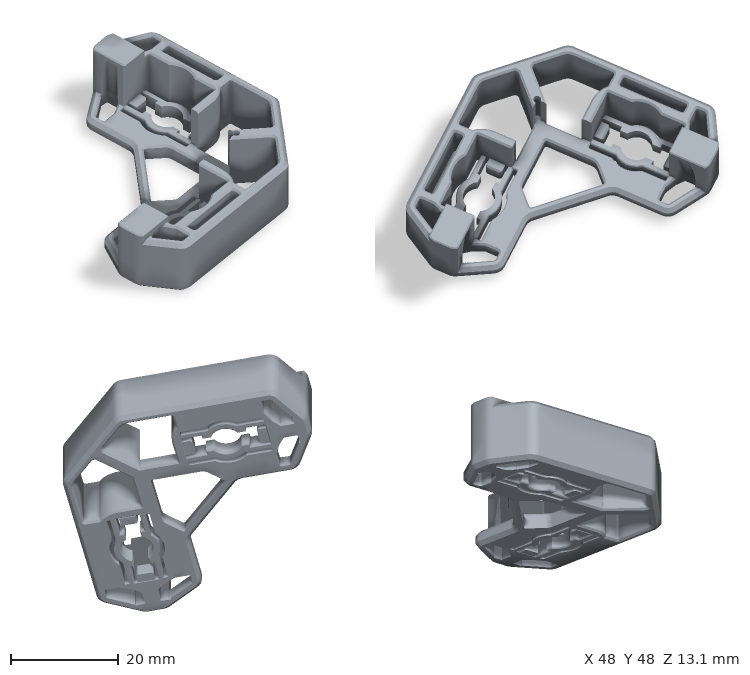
import cadquery as cq
import math

size = 48.0
half_size = size / 2
post_height = 13.1
wall_height = 11.6
base_height = 3.0
wall = 1.8

outer_chamfer = 0.75
inner_chamfer = 0.4
slot_chamfer = 0.2
edge_chamfer = 0.25
outer_radius = 2.5
window_radius = 0.45

arm_width = 20.0
half_arm = arm_width / 2
tip_u = -16.0
tip_half_flat = 2.1
tip_angle = 60.0
arm_x = -half_size - tip_u
arm_y = half_size - half_arm
tip_tangent = math.tan(math.radians(tip_angle))
shoulder_u = tip_u + (half_arm - tip_half_flat) / tip_tangent
outer_corner_x = 10.65
inner_corner_x = -7.9

post_half_width = 3.0
seat_edge = arm_y - post_half_width
seat_relief_radius = 0.7
rib_half_width = 1.35
rib_corner_radius = 0.75

cavity_half_length = 7.95
cavity_radius = 0.3
slot_inner_v = 3.3
slot_outer_v = 4.2
slot_inner_radius = 4.25
slot_outer_radius = 5.2
opening_half_width = 2.3
jaw_half_length = 4.15
jaw_half_gap = 1.5
bore_radius = 3.0
tab_half_width = 1.65
tab_length = 1.8
tab_chamfer = 0.35

plate_outer_u = 9.9
plate_curve_v = 1.45
plate_root_u = 8.35
plate_root_v = 5.3

groove_half_length = 6.6
groove_inner_v = 6.3

tip_window_u = -8.4
tip_window_bend_v = 5.3
tip_window_end_u = -9.45
recess_depth = 1.55
recess_right_run = 0.7
recess_left_edge = 0.15
recess_right_edge = 0.55
recess_mouth_taper = 0.15
recess_top = 12.0
recess_top_left_u = -12.4
recess_top_fade = 0.95
recess_middle_left_u = -13.4
recess_middle_fade = 0.5

base_window_edge = 7.85
base_window_spread = 10.4
base_window_blunt_radius = 1.9


def polygon(points, z=0.0):
    return cq.Workplane("XY").workplane(offset=z).polyline(points).close()


def block(x0, x1, y0, y1, z0, z1):
    return cq.Workplane("XY").box(x1 - x0, y1 - y0, z1 - z0, centered=False).translate((x0, y0, z0))


def swapped(points):
    return [(y, x) for x, y in reversed(points)]


def place(shape):
    return shape.translate((arm_x, arm_y, 0))


def twin(shape):
    """Reflect a shape in the X = Y plane, from one arm onto the other."""
    return shape.mirror("XZ").rotate((0, 0, 0), (0, 0, 1), 90)


def pair(shape):
    return shape.union(twin(shape))


def round_corners(prism, corners, radius):
    """Round the upright edges of a prism that stand at the given corners."""
    reach = 0.25
    for x, y in corners:
        near = cq.selectors.BoxSelector((x - reach, y - reach, -reach), (x + reach, y + reach, post_height))
        prism = prism.edges("|Z").edges(near).fillet(radius)
    return prism


def flare(cutter, top, chamfer):
    """Countersink that chamfers the mouth of a prismatic cutter at height top."""
    section = cutter.faces("<Z").wires().toPending()
    bottom = cutter.val().BoundingBox().zmin
    outward_angle = -45
    flared = section.extrude(chamfer, taper=outward_angle, combine=False)
    return flared.translate((0, 0, top - chamfer - bottom))


def underside_flare(cutter, chamfer):
    """Countersink that chamfers the mouth of a prismatic cutter in the underside."""
    return flare(cutter, 0, chamfer).mirror("XY")


def slab(height):
    arm_points = [
        (outer_corner_x, half_size),
        (arm_x + shoulder_u, half_size),
        (-half_size, arm_y + tip_half_flat),
        (-half_size, arm_y - tip_half_flat),
        (arm_x + shoulder_u, arm_y - half_arm),
        (inner_corner_x, arm_y - half_arm),
    ]
    body = polygon(arm_points + swapped(arm_points)).extrude(height)
    return body.edges("|Z").fillet(outer_radius).faces("<Z").chamfer(outer_chamfer)


def seat():
    far = -size
    square = block(far, seat_edge, far, seat_edge, 0, post_height)
    relief = cq.Workplane("XY").center(seat_edge, seat_edge).circle(seat_relief_radius).extrude(post_height)
    return square.union(relief)


def inside_tip_wall(v):
    """Position along the arm of the inner face of the slanted tip wall."""
    wall_run = wall / math.sin(math.radians(tip_angle))
    return tip_u + (v - tip_half_flat) / tip_tangent + wall_run


def tip_window(height):
    """Window between the tip wall and the cavity, on the +v side of the arm."""
    top_v = half_arm - wall
    points = [
        (inside_tip_wall(top_v), top_v),
        (tip_window_u, top_v),
        (tip_window_u, tip_window_bend_v),
        (tip_window_end_u, post_half_width),
        (inside_tip_wall(post_half_width), post_half_width),
    ]
    return polygon(points).extrude(height).edges("|Z").fillet(window_radius)


def post_recess():
    """Recess in the +v flank of the post, fading out towards the top."""
    foot_u = inside_tip_wall(post_half_width)
    mouth_v = post_half_width + window_radius

    def outline(fade, left_mouth_u):
        deep_v = post_half_width - recess_depth * (1 - fade)
        left_u = foot_u + recess_left_edge + fade * (recess_top_left_u - foot_u)
        right_u = tip_window_end_u - recess_right_edge - (1 - fade) * recess_right_run
        right_mouth_u = tip_window_end_u - fade * recess_mouth_taper
        return [(left_mouth_u, mouth_v), (left_mouth_u, post_half_width), (left_u, deep_v),
                (right_u, deep_v), (right_mouth_u, post_half_width), (right_mouth_u, mouth_v)]

    foot = outline(0, foot_u)
    middle = outline(recess_middle_fade, recess_middle_left_u)
    head = outline(recess_top_fade, recess_top_left_u)
    middle_z = base_height + recess_middle_fade * (recess_top - base_height)
    straight = polygon(foot).extrude(base_height)
    tapered = (
        polygon(foot, base_height)
        .workplane(offset=middle_z - base_height)
        .polyline(middle)
        .close()
        .workplane(offset=recess_top - middle_z)
        .polyline(head)
        .close()
        .loft(combine=True)
    )
    return straight.union(tapered)


def side_window(height):
    """Window between the end plate, the outer corner wall and the diagonal rib."""
    top_y = half_size - wall
    diagonal = half_size + outer_corner_x - wall * math.sqrt(2)
    rib_offset = rib_half_width * math.sqrt(2)
    plate_x = arm_x + plate_outer_u
    root = (arm_x + plate_root_u, arm_y + plate_root_v)
    top_left = (root[0], top_y)
    top_right = (diagonal - top_y, top_y)
    rib_outer = ((diagonal - rib_offset) / 2, (diagonal + rib_offset) / 2)
    window = (
        cq.Workplane("XY")
        .moveTo(plate_x, seat_edge)
        .lineTo(plate_x, arm_y + plate_curve_v)
        .tangentArcPoint(root, relative=False)
        .lineTo(*top_left)
        .lineTo(*top_right)
        .lineTo(*rib_outer)
        .lineTo(seat_edge - rib_offset, seat_edge)
        .close()
        .extrude(height)
    )
    window = round_corners(window, [top_right], outer_radius)
    window = round_corners(window, [rib_outer], rib_corner_radius)
    return round_corners(window, [top_left], window_radius)


def base_window():
    edge = base_window_edge
    diagonal = inner_corner_x + arm_y - half_arm + wall * math.sqrt(2)
    blunt = (edge - base_window_spread, edge)
    sharp = ((diagonal - base_window_spread) / 2, (diagonal + base_window_spread) / 2)
    points = [(edge, edge), blunt, sharp]
    window = polygon(points + swapped(points)[:-1]).extrude(base_height)
    window = round_corners(window, [blunt, blunt[::-1]], base_window_blunt_radius)
    return round_corners(window, [(edge, edge), sharp, sharp[::-1]], window_radius)


def bulged_bar(half_width, radius, height):
    bar = block(-cavity_half_length, cavity_half_length, -half_width, half_width, 0, height)
    bar = bar.edges("|Z").fillet(cavity_radius)
    return bar.union(cq.Workplane("XY").circle(radius).extrude(height))


def spring_slot():
    outer = bulged_bar(slot_outer_v, slot_outer_radius, base_height)
    both = outer.cut(bulged_bar(slot_inner_v, slot_inner_radius, base_height))
    return both.solids(">Y")


def opening():
    length = cavity_half_length
    slot = block(-length, length, -opening_half_width, opening_half_width, 0, base_height)
    jaw = block(-jaw_half_length, jaw_half_length, jaw_half_gap, opening_half_width, 0, base_height)
    slot = slot.cut(jaw).cut(jaw.mirror("XZ"))
    return slot.union(cq.Workplane("XY").circle(bore_radius).extrude(base_height))


def tabs():
    tab = block(-cavity_half_length, tab_length - cavity_half_length,
                -tab_half_width, tab_half_width, 0, base_height)
    tab = tab.faces(">X").edges("not <Z").chamfer(tab_chamfer)
    return tab.union(tab.mirror("YZ"))


def groove():
    outer_v = half_arm - wall
    cutter = block(-groove_half_length, groove_half_length, groove_inner_v, outer_v, base_height, wall_height)
    return cutter.edges("|Z").fillet(window_radius)


def cavity_edge_breaks():
    """Chamfers on the upright edges where the cavity ends meet the seat."""
    corner = (cavity_half_length, -post_half_width)
    along_plate = (cavity_half_length, -post_half_width + edge_chamfer)
    across_plate = (cavity_half_length + edge_chamfer, -post_half_width)
    plate_side = polygon([corner, along_plate, across_plate], base_height).extrude(post_height - base_height)
    return plate_side.union(plate_side.mirror("YZ"))


def post():
    reach = block(tip_u, -cavity_half_length, -post_half_width, post_half_width, 0, post_height)
    full = slab(post_height).intersect(place(reach))
    return full.faces(">Z").chamfer(edge_chamfer)


base = slab(base_height).faces(">Z").chamfer(outer_chamfer)
frame = slab(wall_height).faces(">Z").chamfer(outer_chamfer).cut(seat())
body = frame.union(base)

cavity = bulged_bar(slot_outer_v, slot_outer_radius, wall_height)
cavity_mouth = flare(cavity, wall_height, inner_chamfer)
body = body.cut(pair(place(cavity.translate((0, 0, base_height)))))
body = body.cut(pair(place(cavity_mouth)))

pocket = groove()
body = body.cut(pair(place(pocket.union(flare(pocket, wall_height, inner_chamfer)))))

window = side_window(wall_height)
seat_mouth = flare(window, base_height, inner_chamfer).intersect(seat())
window_mouths = flare(window, wall_height, inner_chamfer).union(underside_flare(window, inner_chamfer))
body = body.cut(pair(window.union(window_mouths).union(seat_mouth)))

window = base_window()
body = body.cut(window.union(flare(window, base_height, inner_chamfer)))

tall_window = tip_window(wall_height)
tall_window = tall_window.union(flare(tall_window, wall_height, inner_chamfer))
low_window = tip_window(base_height)
low_window = low_window.union(flare(low_window, base_height, inner_chamfer)).mirror("XZ")
body = body.cut(pair(place(tall_window.union(low_window))))

recess = post_recess()
body = body.union(pair(post()))
body = body.cut(pair(place(recess.union(recess.mirror("XZ")))))

slot = spring_slot()
slot_mouth = flare(slot, base_height, slot_chamfer)
open_floor = seat().union(place(cavity))
mouths = place(slot_mouth.union(slot_mouth.mirror("XZ"))).intersect(open_floor)
body = body.cut(pair(place(slot.union(slot.mirror("XZ"))).union(mouths)))
gap = opening()
gap = gap.union(underside_flare(gap, slot_chamfer))
body = body.cut(pair(place(gap.cut(tabs()))))

body = body.cut(pair(place(cavity_edge_breaks())))

result = body